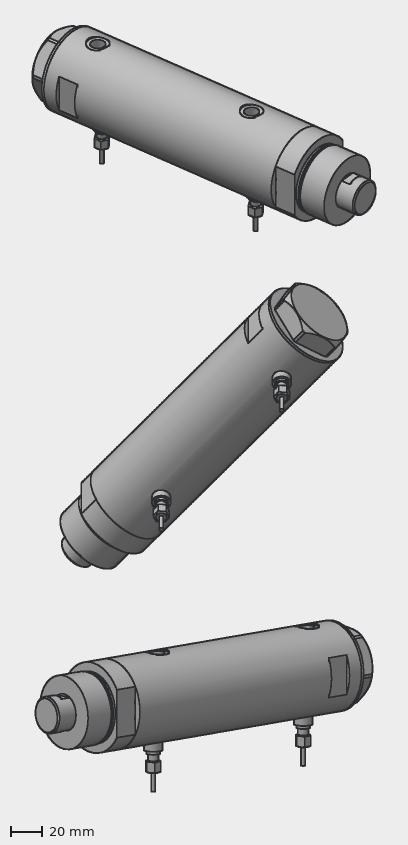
import cadquery as cq
import math


cap_hex_end = 13.2
tube_start = 15.0
piston_start = 38.9
piston_length = 30.0
gland_spigot_start = 162.4
tube_end = 200.0
collar_end = 215.5
groove_start = 217.2
groove_end = 218.1
ring_start = 219.4
ring_end = 238.7
rod_flat_end = 245.3
overall_length = 253.42

barrel_radius = 59.0 / 2
bore_radius = 40.0 / 2
gland_bore_radius = 50.0 / 2
tube_flat_start = 25.0
tube_flat_length = 15.0
tube_flat_offset = 26.5

pair_spacing = 125.2
first_port_x = 35.7
first_sensor_x = 39.0
port_radius = 10.0 / 2
spotface_radius = 15.3 / 2
spotface_z = 28.4

hex_across_flats = 46.0
hex_corner_radius = 26.0
hex_turn = 7.8
cap_face_radius = 22.7

collar_flat_offset = 25.0
neck_radius = 23.5
groove_radius = 23.1
ring_radius = 48.0 / 2

rod_radius = 24.0 / 2
rod_flat_offset = 10.5
rod_chamfer = 1.0

seat_z = -26.0
flange_bottom_z = -34.7
shoulder_bottom_z = -37.0
stem_bottom_z = -41.3
nut_bottom_z = -49.3
cable_bottom_z = -61.8
flange_radius = 12.0 / 2
shoulder_radius = 9.0 / 2
stem_radius = 7.0 / 2
nut_across_flats = 9.0
nut_face_radius = 3.4
nut_bevel_height = 0.8
cable_radius = 2.8 / 2


def across_corners(across_flats):
    return across_flats / math.cos(math.radians(30))


def cylinder_x(start, end, radius):
    """Cylinder along the main axis between two stations."""
    return cq.Workplane("YZ").workplane(offset=start).circle(radius).extrude(end - start)


def cylinder_z(x, bottom, top, radius):
    """Vertical cylinder through the main axis at station x."""
    return cq.Workplane("XY", origin=(x, 0, bottom)).circle(radius).extrude(top - bottom)


def revolve_x(stations):
    """Solid of revolution about the main axis through (x, radius) points."""
    outline = [(stations[0][0], 0)] + stations + [(stations[-1][0], 0)]
    return cq.Workplane("XY").polyline(outline).close().revolve(360, (0, 0, 0), (1, 0, 0))


def slab(start, end, half_y, half_z):
    """Box centred on the main axis, used to mill opposite flats."""
    length = end - start
    return cq.Workplane("XY").box(length, 2 * half_y, 2 * half_z).translate((start + length / 2, 0, 0))


def pair(first_x):
    return [first_x, first_x + pair_spacing]


def make_tube():
    tube = cylinder_x(tube_start, tube_end, barrel_radius)
    tube = tube.cut(cylinder_x(tube_start, tube_end, bore_radius))
    tube = tube.cut(cylinder_x(gland_spigot_start, tube_end, gland_bore_radius))

    flat_end = tube_flat_start + tube_flat_length
    flat_band = cylinder_x(tube_flat_start, flat_end, barrel_radius)
    tube = tube.cut(flat_band.cut(slab(tube_flat_start, flat_end, tube_flat_offset, barrel_radius)))

    for x in pair(first_port_x):
        tube = tube.cut(cylinder_z(x, 0, barrel_radius, port_radius))
        tube = tube.cut(cylinder_z(x, spotface_z, barrel_radius, spotface_radius))
    for x in pair(first_sensor_x):
        tube = tube.cut(cylinder_z(x, -barrel_radius, seat_z, flange_radius))
    return tube


def make_cap():
    hexagon = (
        cq.Workplane("YZ")
        .polygon(6, across_corners(hex_across_flats))
        .extrude(cap_hex_end)
        .rotate((0, 0, 0), (1, 0, 0), -hex_turn)
    )
    bevel_length = hex_corner_radius - cap_face_radius
    turned = revolve_x([
        (0, cap_face_radius),
        (bevel_length, hex_corner_radius),
        (cap_hex_end, hex_corner_radius),
    ])
    cap = hexagon.intersect(turned)
    cap = cap.union(cylinder_x(cap_hex_end, tube_start, barrel_radius))
    return cap.union(cylinder_x(tube_start, piston_start, bore_radius))


def make_gland():
    spigot = cylinder_x(gland_spigot_start, tube_end, gland_bore_radius)
    collar = cylinder_x(tube_end, collar_end, barrel_radius)
    collar = collar.intersect(slab(tube_end, collar_end, collar_flat_offset, barrel_radius))
    nose = revolve_x([
        (collar_end, neck_radius),
        (groove_start, neck_radius),
        (groove_start, groove_radius),
        (groove_end, groove_radius),
        (ring_start, ring_radius),
        (ring_end, ring_radius),
    ])
    gland = spigot.union(collar).union(nose)
    return gland.cut(cylinder_x(gland_spigot_start, ring_end, rod_radius))


def make_rod():
    shaft = cylinder_x(piston_start, overall_length, rod_radius).faces(">X").chamfer(rod_chamfer)
    flat_band = cylinder_x(ring_end, rod_flat_end, rod_radius)
    shaft = shaft.cut(flat_band.cut(slab(ring_end, rod_flat_end, rod_radius, rod_flat_offset)))
    return shaft.union(cylinder_x(piston_start, piston_start + piston_length, bore_radius))


def make_sensor(x):
    sensor = cylinder_z(x, flange_bottom_z, seat_z, flange_radius)
    sensor = sensor.union(cylinder_z(x, shoulder_bottom_z, flange_bottom_z, shoulder_radius))
    sensor = sensor.union(cylinder_z(x, stem_bottom_z, shoulder_bottom_z, stem_radius))

    nut_height = stem_bottom_z - nut_bottom_z
    nut_corners = across_corners(nut_across_flats)
    nut = cq.Workplane("XY", origin=(x, 0, nut_bottom_z)).polygon(6, nut_corners).extrude(nut_height)
    corner_radius = nut_corners / 2
    turned_outline = [
        (0, 0),
        (nut_face_radius, 0),
        (corner_radius, nut_bevel_height),
        (corner_radius, nut_height - nut_bevel_height),
        (nut_face_radius, nut_height),
        (0, nut_height),
    ]
    turned = (
        cq.Workplane("XZ", origin=(x, 0, nut_bottom_z))
        .polyline(turned_outline)
        .close()
        .revolve(360, (0, 0, 0), (0, 1, 0))
    )
    sensor = sensor.union(nut.intersect(turned))

    return sensor.union(cylinder_z(x, cable_bottom_z, nut_bottom_z, cable_radius))


tube = make_tube()
cap = make_cap()
gland = make_gland()
rod = make_rod()
sensors = [make_sensor(x) for x in pair(first_sensor_x)]

result = cq.Compound.makeCompound(
    [tube.val(), cap.val(), gland.val(), rod.val()] + [sensor.val() for sensor in sensors]
)